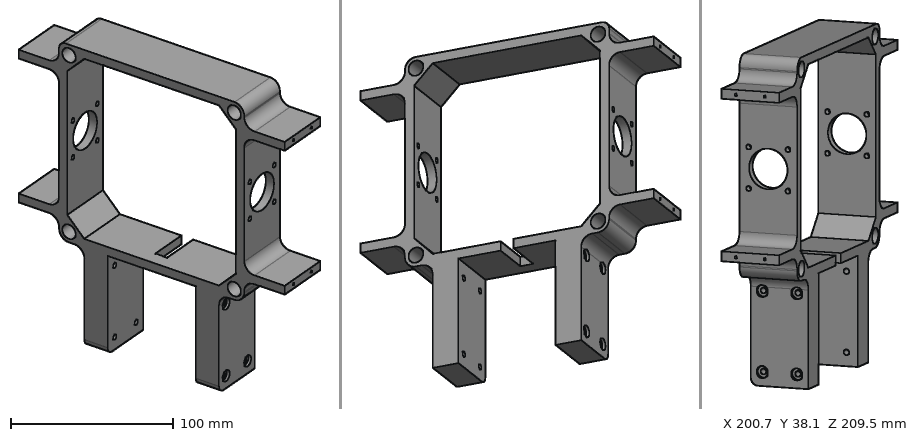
import cadquery as cq

total_width = 200.7
total_height = 209.5
depth = 38.1

frame_size = 139.8
wall = 6.3
opening_size = frame_size - 2 * wall
opening_chamfer = 12.8
corner_radius = 7.5
small_corner_radius = 5.0
root_fillet = 7.5
frame_half = frame_size / 2

arm_thickness = 6.3
arm_spacing = 101.6
arm_hole_diameter = 1.5
arm_hole_depth = 12.5
arm_hole_pitch = 19.0

leg_width = 17.5
leg_outer_x = opening_size / 2 - opening_chamfer
leg_centre_x = leg_outer_x - leg_width / 2
leg_length = total_height - frame_size
leg_bottom_z = frame_half - total_height
leg_toe_radius = 5.0
leg_hole_diameter = 3.5
leg_counterbore_diameter = 7.5
leg_counterbore_depth = 2.0
leg_hole_pitch_y = 22.8
leg_hole_pitch_z = 50.7
leg_lower_hole_height = 8.8

corner_hole_diameter = 10.0
corner_hole_inset = 7.5
side_hole_diameter = 25.4
side_screw_diameter = 3.1
side_screw_pitch = 26.0

slot_width = 8.8
slot_length = 27.9


def block(size_x, size_z, x=0.0, z=0.0):
    """Full-depth block centred on (x, z)."""
    return cq.Workplane("XY").box(size_x, depth, size_z).translate((x, 0, z))


def drill_x(start_x, length, diameter, points):
    """Cylinders along +X from start_x, centred on (y, z) points."""
    return cq.Workplane("YZ", origin=(start_x, 0, 0)).pushPoints(points).circle(diameter / 2).extrude(length)


def grid(pitch_y, pitch_z, centre_z=0.0):
    """The four (y, z) corners of a rectangle centred on y = 0."""
    return [
        (side_y * pitch_y / 2, centre_z + side_z * pitch_z / 2)
        for side_y in (-1, 1)
        for side_z in (-1, 1)
    ]


def edge_at(x, z):
    """Selector for the edge along Y through (x, z)."""
    margin = 0.2
    return cq.selectors.BoxSelector(
        (x - margin, -depth, z - margin), (x + margin, depth, z + margin)
    )


def make_body():
    """Frame, arms and legs with their fillets, before any drilling."""
    body = block(frame_size, frame_size)
    for arm_z in (-arm_spacing / 2, arm_spacing / 2):
        body = body.union(block(total_width, arm_thickness, z=arm_z))
    for side in (-1, 1):
        leg_z = -frame_half - leg_length / 2
        leg = block(leg_width, leg_length, side * leg_centre_x, leg_z)
        leg = leg.edges("<Y and <Z").fillet(leg_toe_radius)
        body = body.union(leg)

    for side in (-1, 1):
        x = side * frame_half
        for arm_side in (-1, 1):
            for face_side in (-1, 1):
                z = arm_side * arm_spacing / 2 + face_side * arm_thickness / 2
                body = body.edges(edge_at(x, z)).fillet(root_fillet)
        body = body.edges(edge_at(side * leg_outer_x, -frame_half)).fillet(root_fillet)
        body = body.edges(edge_at(x, -frame_half)).fillet(corner_radius)
    body = body.edges(edge_at(frame_half, frame_half)).fillet(corner_radius)
    body = body.edges(edge_at(-frame_half, frame_half)).fillet(small_corner_radius)

    opening = block(opening_size, opening_size).edges("|Y").chamfer(opening_chamfer)
    return body.cut(opening)


def frame_cuts():
    """Corner holes, the side openings with their screw holes, and the slot."""
    corner_pitch = frame_size - 2 * corner_hole_inset
    corner_holes = (
        cq.Workplane("XZ")
        .rect(corner_pitch, corner_pitch, forConstruction=True)
        .vertices()
        .circle(corner_hole_diameter / 2)
        .extrude(depth, both=True)
    )
    side_holes = drill_x(-frame_half, frame_size, side_hole_diameter, [(0, 0)])
    side_screws = drill_x(
        -frame_half, frame_size, side_screw_diameter, grid(side_screw_pitch, side_screw_pitch)
    )
    slot = (
        cq.Workplane("XY")
        .box(slot_width, slot_length, wall)
        .translate((0, (depth - slot_length) / 2, -(frame_half - wall / 2)))
    )
    return [corner_holes, side_holes, side_screws, slot]


def arm_cuts():
    """Blind holes in the end faces of the arms."""
    points = grid(arm_hole_pitch, arm_spacing)
    end_x = total_width / 2
    return [
        drill_x(-end_x, arm_hole_depth, arm_hole_diameter, points),
        drill_x(end_x - arm_hole_depth, arm_hole_depth, arm_hole_diameter, points),
    ]


def leg_cuts():
    """Screw holes through both legs, counterbored from the outer faces through the root fillets."""
    centre_z = leg_bottom_z + leg_lower_hole_height + leg_hole_pitch_z / 2
    points = grid(leg_hole_pitch_y, leg_hole_pitch_z, centre_z)
    floor_x = leg_outer_x - leg_counterbore_depth
    reach = leg_counterbore_depth + root_fillet
    return [
        drill_x(-leg_outer_x, 2 * leg_outer_x, leg_hole_diameter, points),
        drill_x(floor_x, reach, leg_counterbore_diameter, points),
        drill_x(-floor_x - reach, reach, leg_counterbore_diameter, points),
    ]


result = make_body()
for cutter in frame_cuts() + arm_cuts() + leg_cuts():
    result = result.cut(cutter)